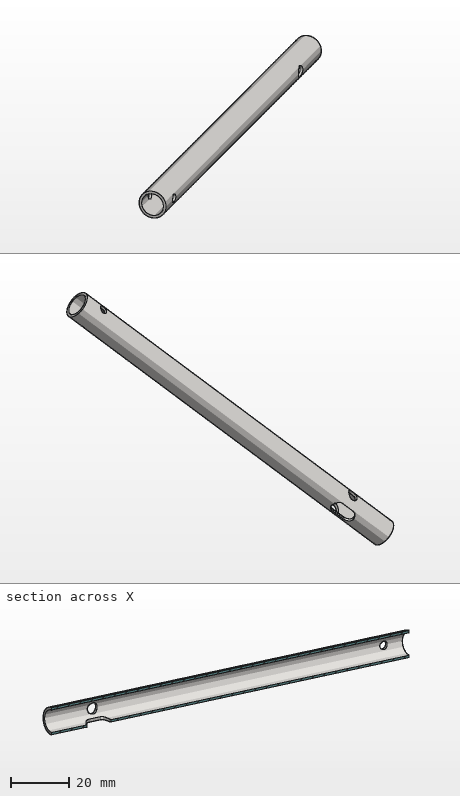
import cadquery as cq

LENGTH = 150.4
OUTER_DIAMETER = 10.0
INNER_DIAMETER = 8.0

LARGE_HOLE_DIAMETER = 4.0
LARGE_HOLE_END_DISTANCE = 20.0
SMALL_HOLE_DIAMETER = 3.0
SMALL_HOLE_END_DISTANCE = 8.0

SLOT_LENGTH = 10.0
SLOT_WIDTH = 5.0

large_hole_y = LENGTH / 2 - LARGE_HOLE_END_DISTANCE
small_hole_y = SMALL_HOLE_END_DISTANCE - LENGTH / 2


def make_tube():
    return (
        cq.Workplane("XZ", origin=(0, LENGTH / 2, 0))
        .circle(OUTER_DIAMETER / 2)
        .circle(INNER_DIAMETER / 2)
        .extrude(LENGTH)
    )


def cross_hole(diameter, y):
    """Cutter for a hole through both side walls."""
    return (
        cq.Workplane("YZ")
        .center(y, 0)
        .circle(diameter / 2)
        .extrude(OUTER_DIAMETER, both=True)
    )


def lower_slot():
    """Cutter from the tube axis down through the lower wall only."""
    return (
        cq.Workplane("XY")
        .center(0, large_hole_y)
        .slot2D(SLOT_LENGTH, SLOT_WIDTH, angle=90)
        .extrude(-OUTER_DIAMETER)
    )


result = (
    make_tube()
    .cut(cross_hole(LARGE_HOLE_DIAMETER, large_hole_y))
    .cut(cross_hole(SMALL_HOLE_DIAMETER, small_hole_y))
    .cut(lower_slot())
)